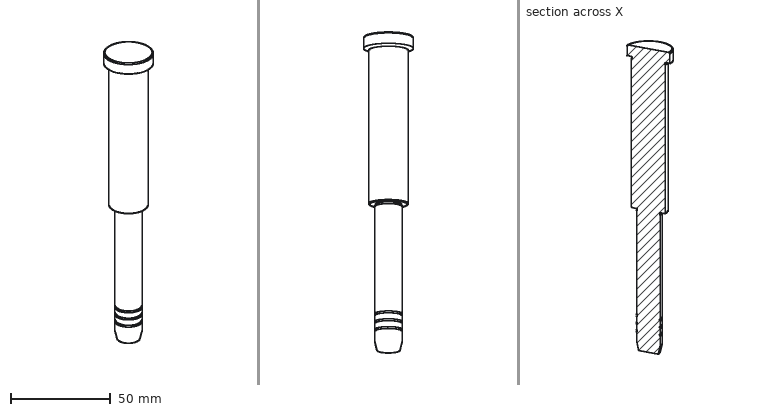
import cadquery as cq

total_length = 161.0

head_radius = 25.0 / 2
head_height = 6.0
head_chamfer = 0.6

body_radius = 20.0 / 2
body_bottom = 75.0
body_chamfer = 0.5

pin_radius = 14.0 / 2

head_relief_radius = 0.5
body_relief_height = 1.0
body_relief_depth = 0.3

groove_count = 3
groove_radius = 0.5
groove_pitch = 4.0
lowest_groove_center = 10.5

taper_height = 5.0
taper_end_radius = 5.8
tip_round = 0.8


def cylinder(radius, bottom, top):
    return cq.Workplane("XY").workplane(offset=bottom).circle(radius).extrude(top - bottom)


def ring_cut(outer_radius, depth, bottom, top):
    return cylinder(outer_radius, bottom, top).cut(cylinder(outer_radius - depth, bottom, top))


def round_groove(shaft_radius, center_height, section_radius):
    section = cq.Workplane("XZ").center(shaft_radius, center_height).circle(section_radius)
    return section.revolve(360, (-shaft_radius, 0, 0), (-shaft_radius, 1, 0))


head_bottom = total_length - head_height
head = cylinder(head_radius, head_bottom, total_length).faces(">Z").edges().chamfer(head_chamfer)

body = cylinder(body_radius, body_bottom, head_bottom).faces("<Z").edges().chamfer(body_chamfer)
body = body.cut(round_groove(body_radius, head_bottom - head_relief_radius, head_relief_radius))

pin = cylinder(pin_radius, taper_height, body_bottom)
pin = pin.cut(ring_cut(pin_radius, body_relief_depth, body_bottom - body_relief_height, body_bottom))
for index in range(groove_count):
    center = lowest_groove_center + index * groove_pitch
    pin = pin.cut(round_groove(pin_radius, center, groove_radius))

tip_profile = [(0, 0), (taper_end_radius, 0), (pin_radius, taper_height), (0, taper_height)]
tip = cq.Workplane("XZ").polyline(tip_profile).close().revolve(360, (0, 0, 0), (0, 1, 0))
tip = tip.faces("<Z").edges().fillet(tip_round)

result = head.union(body).union(pin).union(tip)